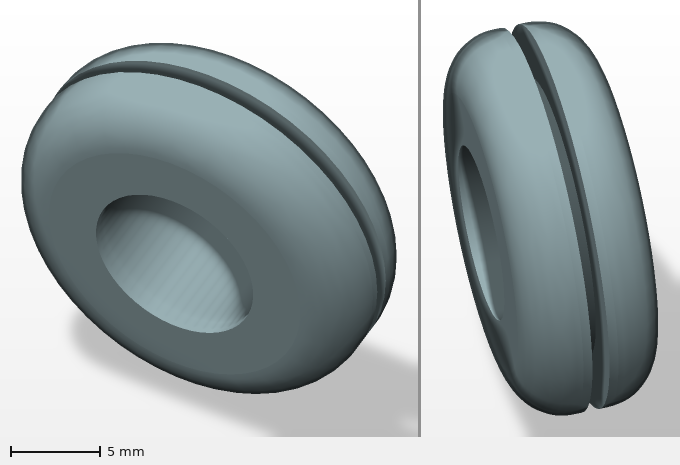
import cadquery as cq

outer_diameter = 22.0
width = 8.0
bore_diameter = 10.0
groove_diameter = 16.0
groove_width = 1.0
edge_radius = 3.0


def cylinder_along_y(diameter, length):
    """Cylinder centred on the origin with its axis along Y."""
    return cq.Workplane("XZ", origin=(0, length / 2, 0)).circle(diameter / 2).extrude(length)


body = cylinder_along_y(outer_diameter, width).faces("<Y or >Y").edges().fillet(edge_radius)

groove = cylinder_along_y(outer_diameter, groove_width).cut(
    cylinder_along_y(groove_diameter, groove_width)
)

bore = cylinder_along_y(bore_diameter, width)

result = body.cut(groove).cut(bore)